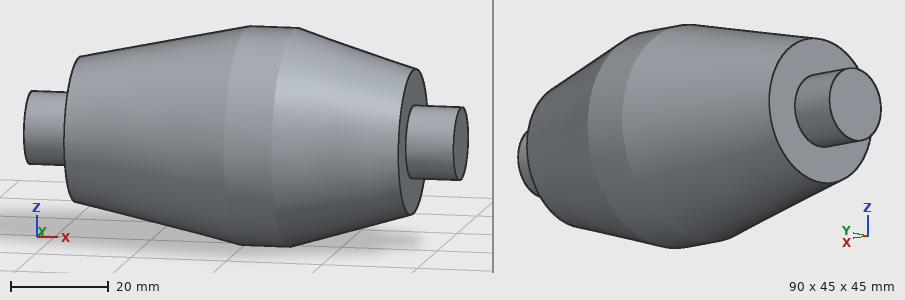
import cadquery as cq

total_length = 90.0
pin_length = 10.0
band_length = 10.0
long_cone_length = 35.0
short_cone_length = total_length - 2 * pin_length - band_length - long_cone_length

pin_radius = 15.0 / 2
cone_end_radius = 30.0 / 2
band_radius = 45.0 / 2

long_cone_start = pin_length
band_start = long_cone_start + long_cone_length
band_end = band_start + band_length
short_cone_end = band_end + short_cone_length

half_section = [
    (0, 0),
    (0, pin_radius),
    (long_cone_start, pin_radius),
    (long_cone_start, cone_end_radius),
    (band_start, band_radius),
    (band_end, band_radius),
    (short_cone_end, cone_end_radius),
    (short_cone_end, pin_radius),
    (total_length, pin_radius),
    (total_length, 0),
]

result = (
    cq.Workplane("XY")
    .polyline(half_section)
    .close()
    .revolve(360, (0, 0, 0), (1, 0, 0))
)